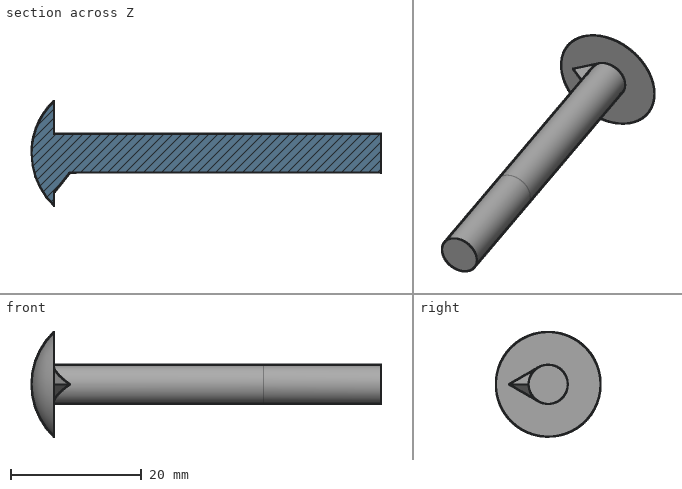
import cadquery as cq
import math

head_diameter = 16.06
head_height = 3.48
shank_diameter = 6.0
shank_length = 50.0
thread_length = 18.0

nib_reach = 6.0
nib_length = 2.4
nib_angle = 60.0

head_radius = head_diameter / 2
shank_radius = shank_diameter / 2
plain_length = shank_length - thread_length


def make_head():
    """Spherical cap: half a lens profile revolved about the X axis."""
    sphere_radius = (head_radius**2 + head_height**2) / (2 * head_height)
    centre_x = sphere_radius - head_height
    half_angle = math.asin(head_radius / sphere_radius) / 2
    arc_middle = (
        centre_x - sphere_radius * math.cos(half_angle),
        sphere_radius * math.sin(half_angle),
    )
    return (
        cq.Workplane("XY")
        .moveTo(0, 0)
        .lineTo(-head_height, 0)
        .threePointArc(arc_middle, (0, head_radius))
        .close()
        .revolve(360, (0, 0, 0), (1, 0, 0))
    )


def make_cylinder(start_x, length):
    """Shank section along +X."""
    return cq.Workplane("YZ", origin=(start_x, 0, 0)).circle(shank_radius).extrude(length)


def make_nib():
    """Pyramid on the -Y side, whose flat inner side and tip lie within the shank."""
    half_angle = math.radians(nib_angle / 2)
    inner_y = shank_radius * math.sin(half_angle)
    half_width = (nib_reach - inner_y) * math.tan(half_angle)
    tip_x = nib_length * (nib_reach - inner_y) / (nib_reach - shank_radius)

    ridge = cq.Vector(0, -nib_reach, 0)
    upper = cq.Vector(0, -inner_y, half_width)
    lower = cq.Vector(0, -inner_y, -half_width)
    tip = cq.Vector(tip_x, -inner_y, 0)
    sides = [
        (ridge, upper, lower),
        (ridge, tip, upper),
        (ridge, lower, tip),
        (upper, tip, lower),
    ]
    faces = [cq.Face.makeFromWires(cq.Wire.makePolygon(side, close=True)) for side in sides]
    return cq.Workplane(cq.Solid.makeSolid(cq.Shell.makeShell(faces)))


plain_shank = make_cylinder(0, plain_length)
threaded_end = make_cylinder(plain_length, thread_length)

result = (
    make_head()
    .union(plain_shank, clean=False)
    .union(make_nib(), clean=False)
    .union(threaded_end, clean=False)
)